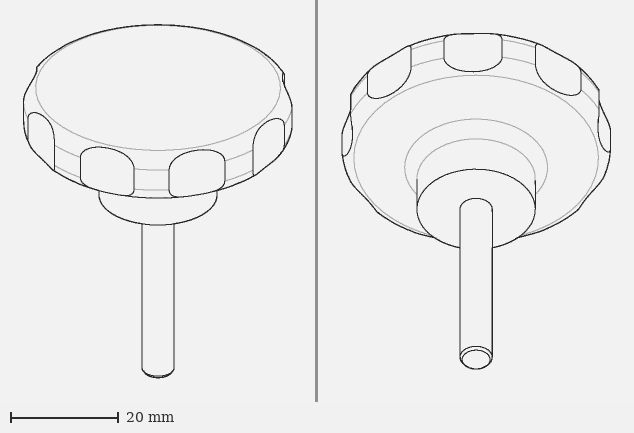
import cadquery as cq
import math


stud_diameter = 6.0
stud_length = 38.0
stud_tip_height = 0.6
stud_tip_inset = 0.4

knob_diameter = 50.0
knob_height = 26.0
hub_diameter = 22.0
cone_bottom_z = 10.0
rim_bottom_z = 13.5
rim_top_z = 22.5
edge_radius = 3.0

scallop_count = 9
scallop_radius = 15.0
scallop_floor_radius = 23.4
first_scallop_angle = -90.0

knob_radius = knob_diameter / 2
hub_radius = hub_diameter / 2
dome_rise = knob_height - rim_top_z
dome_radius = (knob_radius**2 + dome_rise**2) / (2 * dome_rise)


def make_knob_body():
    """Revolve the half section, then round the rim edges and the hub junction."""
    dome_mid_x = knob_radius / 2
    dome_center_z = knob_height - dome_radius
    dome_mid = (dome_mid_x, dome_center_z + math.sqrt(dome_radius**2 - dome_mid_x**2))
    body = (
        cq.Workplane("XZ")
        .moveTo(0, 0)
        .lineTo(hub_radius, 0)
        .lineTo(hub_radius, cone_bottom_z)
        .lineTo(knob_radius, rim_bottom_z)
        .lineTo(knob_radius, rim_top_z)
        .threePointArc(dome_mid, (0, knob_height))
        .close()
        .revolve(360, (0, 0, 0), (0, 1, 0))
    )
    above_hub_face = cq.selectors.BoxSelector(
        (-knob_diameter, -knob_diameter, cone_bottom_z / 2),
        (knob_diameter, knob_diameter, knob_height),
    )
    return body.edges("%CIRCLE").edges(above_hub_face).fillet(edge_radius)


def cut_scallops(body):
    """Cut evenly spaced cylindrical scallops, parallel to the knob axis, through the rim."""
    center_distance = scallop_floor_radius + scallop_radius
    cutters = (
        cq.Workplane("XY")
        .polarArray(center_distance, first_scallop_angle, 360, scallop_count)
        .circle(scallop_radius)
        .extrude(knob_height, combine=False)
    )
    return body.cut(cutters)


def make_stud():
    """Plain cylindrical stud below the hub with a chamfered tip."""
    stud_radius = stud_diameter / 2
    return (
        cq.Workplane("XZ")
        .moveTo(0, 0)
        .lineTo(stud_radius, 0)
        .lineTo(stud_radius, stud_tip_height - stud_length)
        .lineTo(stud_radius - stud_tip_inset, -stud_length)
        .lineTo(0, -stud_length)
        .close()
        .revolve(360, (0, 0, 0), (0, 1, 0))
    )


result = cut_scallops(make_knob_body()).union(make_stud())